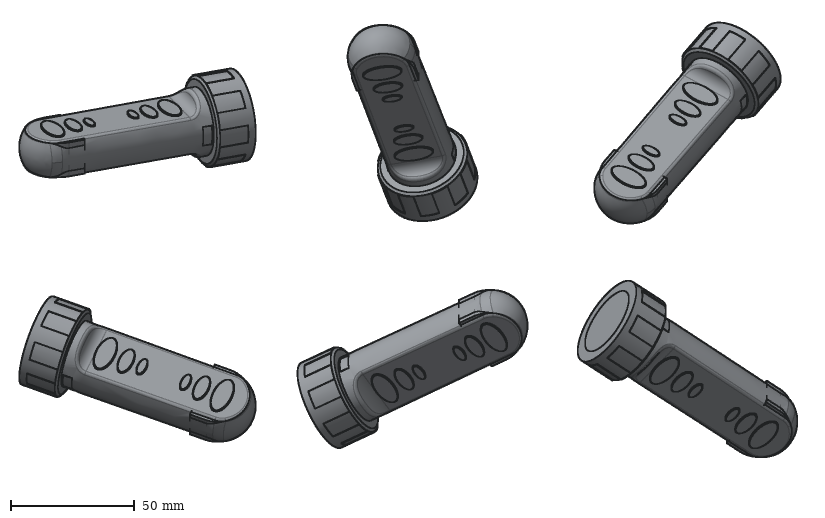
import cadquery as cq
import math

TOTAL_LENGTH = 94.6

CAP_RADIUS = 19.0
CAP_LENGTH = 16.4
CAP_CHAMFER_START = 15.5
CAP_CHAMFER_RADIUS = 18.6
CAP_FACE_RADIUS = 17.4
PANEL_COUNT = 8
PANEL_ANGLE = 23.4
PANEL_DEPTH = 0.3
PANEL_START = 3.2

NECK_RADIUS = 14.2
TIP_RADIUS = 13.9
DOME_RADIUS = 14.6
DOME_BLEND = 9.0
DOME_CENTER = TOTAL_LENGTH - DOME_RADIUS
DOME_EDGE = DOME_CENTER + math.sqrt(DOME_RADIUS**2 - TIP_RADIUS**2)

FLAT_HEIGHT = 8.2
SCOOP_RADIUS = 4.8
SCOOP_END = 25.7
SCOOP_START = SCOOP_END - SCOOP_RADIUS
RIM_FILLET = 1.6

INSERT_HALF_WIDTH = 13.0
INSERT_HALF_HEIGHT = 7.6
INSERT_START = 72.3
INSERT_CORNER_START = 79.4
INSERT_END = 92.0

TAB_START = 17.1
TAB_END = 21.0
TAB_WIDTH = 8.3
TAB_START_RADIUS = 14.5
TAB_END_RADIUS = 14.2

OVAL_HEIGHT = 0.5
OVAL_SLOPE_RUN = 0.4
OVALS = [
    (16.3, 8.1, 29.8),
    (12.1, 6.05, 38.9),
    (8.1, 4.0, 45.9),
    (8.1, 4.0, 65.0),
    (12.1, 6.05, 72.0),
    (16.3, 8.1, 81.0),
]

CLEAR = 23.6
PICK_MARGIN = 0.1


def revolve_about_y(profile):
    """Turn a profile drawn in the XY plane about the Y axis."""
    return profile.close().revolve(360, (0, 0, 0), (0, 1, 0))


def panel_cutter():
    """Curved wedge that recesses one panel on the cap's side."""
    half_angle = math.radians(PANEL_ANGLE / 2)
    cosine = math.cos(half_angle)
    sine = math.sin(half_angle)
    inner = CAP_RADIUS - PANEL_DEPTH
    return (
        cq.Workplane("XZ", origin=(0, -PANEL_START, 0))
        .moveTo(inner * cosine, -inner * sine)
        .threePointArc((inner, 0), (inner * cosine, inner * sine))
        .lineTo(CLEAR * cosine, CLEAR * sine)
        .lineTo(CLEAR * cosine, -CLEAR * sine)
        .close()
        .extrude(CAP_CHAMFER_START - PANEL_START)
    )


def make_cap():
    """Chamfered ring with recessed panels and a bore for the neck."""
    cap = revolve_about_y(
        cq.Workplane("XY")
        .moveTo(NECK_RADIUS, 0)
        .lineTo(CAP_RADIUS, 0)
        .lineTo(CAP_RADIUS, -CAP_CHAMFER_START)
        .lineTo(CAP_CHAMFER_RADIUS, -CAP_CHAMFER_START)
        .lineTo(CAP_FACE_RADIUS, -CAP_LENGTH)
        .lineTo(NECK_RADIUS, -CAP_LENGTH)
    )
    panel = panel_cutter()
    for i in range(PANEL_COUNT):
        cap = cap.cut(panel.rotate((0, 0, 0), (0, 1, 0), i * 360 / PANEL_COUNT))
    return cap


def round_bar():
    """Neck, tapered bar and blended dome in one turned shape."""
    dome_diagonal = DOME_RADIUS * math.sqrt(0.5)
    bar = revolve_about_y(
        cq.Workplane("XY")
        .lineTo(NECK_RADIUS, 0)
        .lineTo(NECK_RADIUS, -CAP_LENGTH)
        .lineTo(TIP_RADIUS, -DOME_EDGE)
        .threePointArc((dome_diagonal, -DOME_CENTER - dome_diagonal), (0, -TOTAL_LENGTH))
    )
    dome_edge = bar.edges(cq.selectors.NearestToPointSelector((0, -DOME_EDGE, 0)))
    return dome_edge.fillet(DOME_BLEND)


def flat_cutter():
    """Block above the upper flat, with the scoop's round shoulder at the neck."""
    arc_inset = SCOOP_RADIUS * (1 - math.sqrt(0.5))
    return (
        cq.Workplane("YZ")
        .moveTo(-TOTAL_LENGTH - CLEAR, FLAT_HEIGHT)
        .lineTo(-SCOOP_END, FLAT_HEIGHT)
        .threePointArc(
            (-SCOOP_START - arc_inset, FLAT_HEIGHT + arc_inset),
            (-SCOOP_START, FLAT_HEIGHT + SCOOP_RADIUS),
        )
        .lineTo(-SCOOP_START, CLEAR)
        .lineTo(-TOTAL_LENGTH - CLEAR, CLEAR)
        .close()
        .extrude(CLEAR, both=True)
    )


def snap_tabs():
    """Ramped ring, highest next to the cap, kept only as a tab on each side."""
    ring = revolve_about_y(
        cq.Workplane("XY")
        .moveTo(0, -TAB_START)
        .lineTo(TAB_START_RADIUS, -TAB_START)
        .lineTo(TAB_END_RADIUS, -TAB_END)
        .lineTo(0, -TAB_END)
    )
    return ring.intersect(cq.Workplane("XY").box(2 * CLEAR, 2 * CLEAR, TAB_WIDTH))


def oval(across, along, position):
    """One raised oval on the upper flat."""
    return (
        cq.Workplane("XY", origin=(0, -position, FLAT_HEIGHT))
        .ellipse(across / 2, along / 2)
        .workplane(offset=OVAL_HEIGHT)
        .ellipse(across / 2 - OVAL_SLOPE_RUN, along / 2 - OVAL_SLOPE_RUN)
        .loft(ruled=True)
    )


def make_insert():
    """Flat slab with straight sides and a round end inside the dome."""
    return (
        cq.Workplane("XY", origin=(0, 0, -INSERT_HALF_HEIGHT))
        .moveTo(-INSERT_HALF_WIDTH, -INSERT_START)
        .lineTo(INSERT_HALF_WIDTH, -INSERT_START)
        .lineTo(INSERT_HALF_WIDTH, -INSERT_CORNER_START)
        .threePointArc((0, -INSERT_END), (-INSERT_HALF_WIDTH, -INSERT_CORNER_START))
        .close()
        .extrude(2 * INSERT_HALF_HEIGHT)
    )


def make_grip(insert):
    """Round bar with flats, scoops, tabs and ovals, and a pocket that fits the insert."""
    grip = round_bar()
    upper_cut = flat_cutter()
    grip = grip.cut(upper_cut).cut(upper_cut.mirror("XY"))

    upper_rim = cq.selectors.BoxSelector(
        (-CLEAR, -TOTAL_LENGTH, FLAT_HEIGHT - PICK_MARGIN), (CLEAR, -CAP_LENGTH, CLEAR)
    )
    lower_rim = cq.selectors.BoxSelector(
        (-CLEAR, -TOTAL_LENGTH, -CLEAR), (CLEAR, -CAP_LENGTH, PICK_MARGIN - FLAT_HEIGHT)
    )
    grip = grip.edges("not |X").edges(upper_rim + lower_rim).fillet(RIM_FILLET)

    grip = grip.union(snap_tabs())
    for across, along, position in OVALS:
        raised = oval(across, along, position)
        grip = grip.union(raised).union(raised.mirror("XY"))
    return grip.cut(insert)


cap = make_cap()
insert = make_insert()
grip = make_grip(insert)
result = cq.Compound.makeCompound([cap.solids().val(), grip.solids().val(), insert.solids().val()])